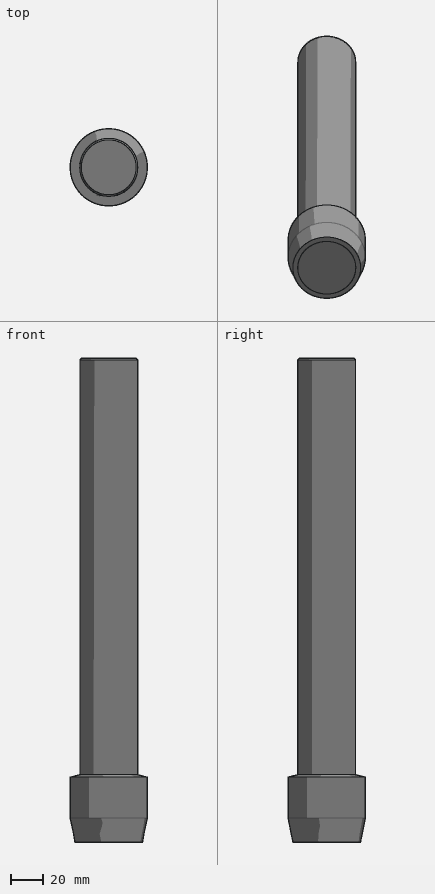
import cadquery as cq
import math

rod_diameter = 36.0
rod_length = 300.0
rod_end_chamfer = 1.0

collar_diameter = 48.0
collar_height = 42.0
collar_crown_angle = 15.0
collar_foot_diameter = 42.0
collar_taper_height = 15.0


def make_rod():
    """Round bar with a chamfered top edge."""
    return (
        cq.Workplane("XY")
        .circle(rod_diameter / 2)
        .extrude(rod_length)
        .faces(">Z")
        .chamfer(rod_end_chamfer)
    )


def make_collar():
    """Revolved ring: tapered foot, straight side and shallow conical top."""
    bore_radius = rod_diameter / 2
    side_radius = collar_diameter / 2
    foot_radius = collar_foot_diameter / 2
    crown_rise = (side_radius - bore_radius) * math.tan(math.radians(collar_crown_angle))
    return (
        cq.Workplane("YZ")
        .moveTo(bore_radius, 0)
        .lineTo(foot_radius, 0)
        .lineTo(side_radius, collar_taper_height)
        .lineTo(side_radius, collar_height - crown_rise)
        .lineTo(bore_radius, collar_height)
        .close()
        .revolve(360, (0, 0, 0), (0, 1, 0))
    )


rod = make_rod()
collar = make_collar()

result = cq.Compound.makeCompound([rod.val(), collar.val()])